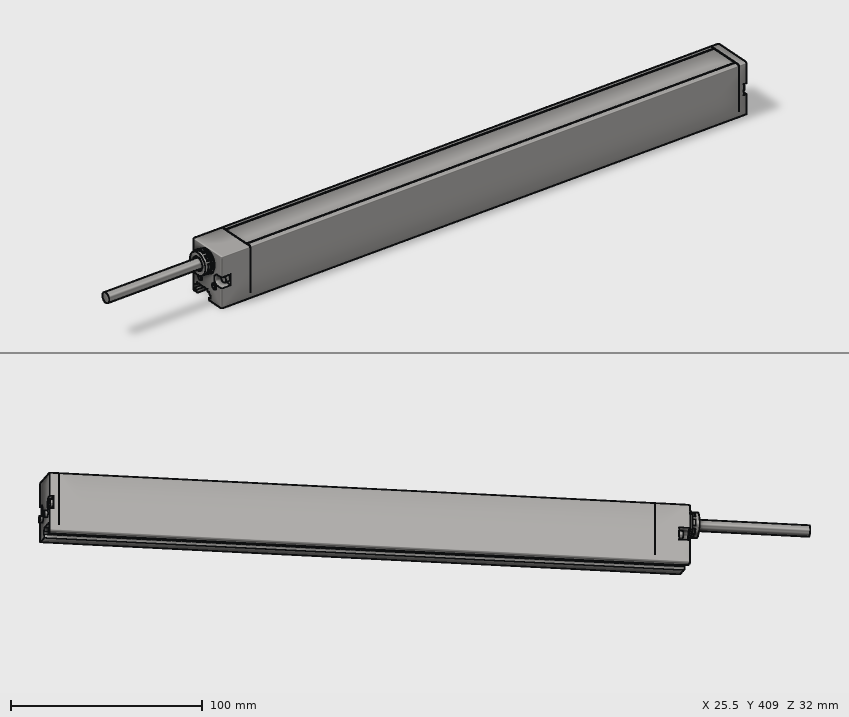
import cadquery as cq

overall_length = 409
width = 25.5
height = 32.0
length = 341.5
edge_radius = 1.2
front_edge_radius = 1.02

front_cap_length = 19.0
rear_cap_length = 5.0
joint_width = 0.2
joint_depth = 0.2
joint_base = 4.0

window_width = 18.5
window_depth = 0.5

slot_mouth_left = -9.0
slot_mouth_right = 1.5
slot_left = -11.5
slot_right = 3.0
slot_floor = 2.0
slot_top = 5.5
slot_chamfer = 1.5

step_right = 0.0
step_height = 1.2
step_depth = 1.2

notch_center_z = 16.0
notch_height = 6.5
front_notch_depth = 6.0
rear_notch_depth = 2.0
notch_end_x = 6.0

notch_screw_x = 9.5
notch_screw_diameter = 4.5
front_notch_screw_height = 2.5
rear_notch_screw_height = 1.5

stud_x = 6.0
stud_z = 11.0
stud_diameter = 3.5
stud_height = 1.5
stud_hole_depth = 1.2

gland_z = 23.95
gland_diameter = 13.5
gland_length = 6.0
nut_start = 1.2
nut_end = 2.5
nut_corner_diameter = 16.0
nut_turn = 30
flute_count = 8
flute_width = 3.3
flute_depth = 1.0
flute_end = 4.0
entry_diameter = 8.0
entry_depth = 1.2

cable_diameter = 6.0
cable_start = gland_length - entry_depth
cable_end = overall_length - length - stud_height


def box(x_min, x_max, y_min, y_max, z_min, z_max):
    size = (x_max - x_min, y_max - y_min, z_max - z_min)
    return cq.Workplane("XY").box(*size, centered=False).translate((x_min, y_min, z_min))


def rod(diameter, x, z, y_start, y_end):
    """Round bar along Y."""
    plane = cq.Workplane("XZ", origin=(x, y_end, z))
    return plane.circle(diameter / 2).extrude(y_end - y_start)


def bar():
    blank = box(-width / 2, width / 2, 0, length, 0, height)
    return blank.edges("|Y").fillet(edge_radius).faces("<Y").edges().fillet(front_edge_radius)


def mounting_slot():
    outline = [
        (slot_mouth_left, 0),
        (slot_mouth_left, slot_floor),
        (slot_left, slot_floor),
        (slot_left, slot_top - slot_chamfer),
        (slot_left + slot_chamfer, slot_top),
        (slot_right - slot_chamfer, slot_top),
        (slot_right, slot_top - slot_chamfer),
        (slot_right, slot_floor),
        (slot_mouth_right, slot_floor),
        (slot_mouth_right, 0),
    ]
    return cq.Workplane("XZ", origin=(0, length, 0)).polyline(outline).close().extrude(length)


def slot_step():
    return box(slot_mouth_left, step_right, 0, step_depth, slot_top, slot_top + step_height)


def window():
    return box(
        -window_width / 2, window_width / 2,
        front_cap_length, length - rear_cap_length,
        height - window_depth, height,
    )


def joint_line(y):
    """Shallow groove over the flanks and the top."""
    y_min = y - joint_width / 2
    y_max = y + joint_width / 2
    outer = box(-width / 2, width / 2, y_min, y_max, joint_base, height)
    inner_half = width / 2 - joint_depth
    core = box(-inner_half, inner_half, y_min, y_max, joint_base, height - joint_depth)
    core = core.edges("|Y and >Z").fillet(edge_radius - joint_depth)
    return outer.cut(core)


def side_notch(side, y_start, y_end):
    """Notch open to one flank, with a round inner end."""
    radius = notch_height / 2
    center_x = notch_end_x + radius
    end = rod(notch_height, side * center_x, notch_center_z, y_start, y_end)
    x_limits = sorted((side * center_x, side * width / 2))
    z_limits = (notch_center_z - radius, notch_center_z + radius)
    return end.union(box(*x_limits, y_start, y_end, *z_limits))


def flute(angle):
    """Flat-bottomed groove along the gland sleeve, at an angle from the top."""
    bottom = gland_z + gland_diameter / 2 - flute_depth
    top = gland_z + gland_diameter / 2 + flute_depth
    groove = box(-flute_width / 2, flute_width / 2, -flute_end, -nut_end, bottom, top)
    return groove.rotate((0, 0, gland_z), (0, 1, gland_z), angle)


def gland():
    body = rod(gland_diameter, 0, gland_z, -gland_length, 0)
    for index in range(flute_count):
        body = body.cut(flute(index * 360 / flute_count))
    nut = (
        cq.Workplane("XZ", origin=(0, -nut_start, gland_z))
        .polygon(6, nut_corner_diameter)
        .extrude(nut_end - nut_start)
        .rotate((0, 0, gland_z), (0, 1, gland_z), nut_turn)
    )
    entry = rod(entry_diameter, 0, gland_z, -gland_length, -cable_start)
    return body.union(nut).cut(entry)


def make_housing():
    rear_floor = length - rear_notch_depth
    body = bar().cut(mounting_slot()).cut(slot_step()).cut(window())
    for y in (front_cap_length, length - rear_cap_length):
        body = body.cut(joint_line(y))
    for side in (-1, 1):
        body = body.cut(side_notch(side, 0, front_notch_depth))
        body = body.cut(side_notch(side, rear_floor, length))
        front_top = front_notch_depth - front_notch_screw_height
        rear_top = rear_floor + rear_notch_screw_height
        screw_place = (notch_screw_diameter, side * notch_screw_x, notch_center_z)
        body = body.union(rod(*screw_place, front_top, front_notch_depth))
        body = body.union(rod(*screw_place, rear_floor, rear_top))
        stud_place = (stud_diameter, side * stud_x, stud_z)
        body = body.cut(rod(*stud_place, 0, stud_hole_depth))
        body = body.union(rod(*stud_place, length, length + stud_height))
    return body.union(gland())


def make_cable():
    return rod(cable_diameter, 0, gland_z, -cable_end, -cable_start)


housing = make_housing()
cable = make_cable()
result = cq.Compound.makeCompound([housing.solids().val(), cable.val()])